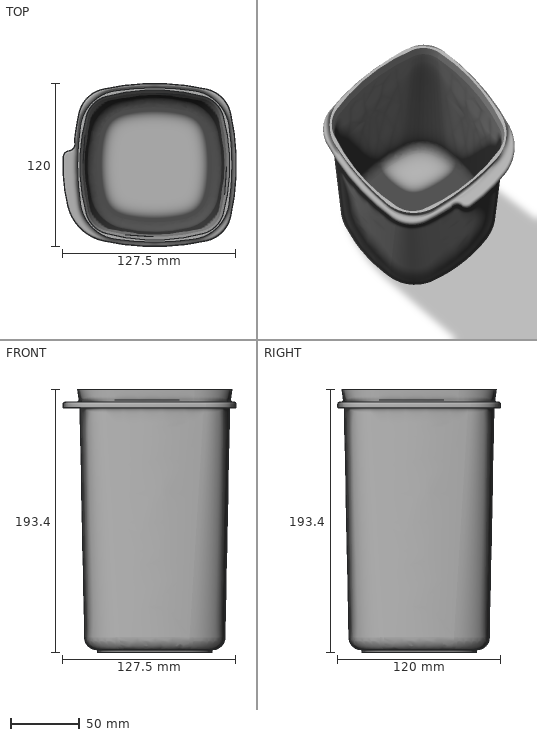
import cadquery as cq
import math

total_height = 193.4
foot_height = 2.1
flange_bottom = 179.8
flange_top = 184.0

wall = 2.1
rim_edge = 1.5
base_round = 9.3
rim_root_round = 1.4
flange_top_round = 2.0
flange_bottom_round = 0.5

foot = (42.0, 23.0, 106.3)
base = (51.5, 25.1, 106.3)
shoulder = (55.1, 36.3, 145.0)
rim_base = (55.5, 29.0, 193.4)
rim_top = (56.7, 29.4, 193.4)
mouth_top = (rim_top[0] - rim_edge, 35.8, 135.3)
flange = (60.0, 37.9, 174.0)

tab_front_end = (-63.8, -30.5)
tab_back_end = (-67.3, 5.8)
tab_neck = (-63.0, 10.5)
tab_root_y = 17.4


def inset(profile, thickness):
    """Profile parallel to another one, a constant thickness inside it."""
    half_width, side, radius = profile
    inner_radius = radius - thickness
    return half_width - thickness, side * inner_radius / radius, inner_radius


def side_reach(profile, along):
    """Distance from the center plane to a side arc, at a place along that side."""
    half_width, _, radius = profile
    return half_width - radius + math.sqrt(radius**2 - along**2)


def corner_middle(profile):
    """X (and Y) of the middle of the corner arc that runs tangent into both side arcs."""
    _, side, side_radius = profile
    reach = side_reach(profile, side)
    tilt = math.asin(side / side_radius)
    corner_radius = (reach - side) / (math.cos(tilt) - math.sin(tilt))
    return side + corner_radius * (math.sqrt(0.5) - math.sin(tilt))


def quarter_turns(point, count):
    """Turn a point counterclockwise about Z by a number of quarter turns."""
    x, y = point
    for _ in range(count):
        x, y = -y, x
    return x, y


def bowed_square(plane, profile):
    """Closed outline of four bowed sides joined by tangent corner arcs."""
    half_width, side, _ = profile
    reach = side_reach(profile, side)
    middle = corner_middle(profile)
    outline = plane.moveTo(reach, -side)
    for turn in range(4):
        side_points = [quarter_turns(p, turn) for p in ((half_width, 0), (reach, side))]
        corner_points = [quarter_turns(p, turn) for p in ((middle, middle), (side, reach))]
        outline = outline.threePointArc(*side_points).threePointArc(*corner_points)
    return outline.close()


def tapered(z_low, low, z_high, high):
    """Straight-sided solid between two profiles."""
    lower = bowed_square(cq.Workplane("XY").workplane(offset=z_low), low)
    upper = bowed_square(lower.workplane(offset=z_high - z_low), high)
    return upper.loft(ruled=True)


def round_bottomed(z_low, low, z_high, high, radius):
    """Tapered solid with its lower edge rounded."""
    return tapered(z_low, low, z_high, high).faces("<Z").edges().fillet(radius)


def flange_plate():
    """Flange with the finger tab blended into its -X side."""
    half_width, side, _ = flange
    reach = side_reach(flange, side)
    middle = corner_middle(flange)
    tab_root = (-side_reach(flange, tab_root_y), tab_root_y)
    back_middle_y = (tab_root_y + side) / 2
    back_middle = (-side_reach(flange, back_middle_y), back_middle_y)
    plate = (
        cq.Workplane("XY")
        .workplane(offset=flange_bottom)
        .moveTo(-reach, side)
        .threePointArc((-middle, middle), (-side, reach))
        .threePointArc((0, half_width), (side, reach))
        .threePointArc((middle, middle), (reach, side))
        .threePointArc((half_width, 0), (reach, -side))
        .threePointArc((middle, -middle), (side, -reach))
        .threePointArc((0, -half_width), (-side, -reach))
        .tangentArcPoint(tab_front_end, relative=False)
        .tangentArcPoint(tab_back_end, relative=False)
        .tangentArcPoint(tab_neck, relative=False)
        .tangentArcPoint(tab_root, relative=False)
        .threePointArc(back_middle, (-reach, side))
        .close()
        .extrude(flange_top - flange_bottom)
    )
    plate = plate.faces(">Z").edges().fillet(flange_top_round)
    return plate.faces("<Z").edges().fillet(flange_bottom_round)


def collar():
    """Flange and the rim standing on it, with a fillet around the foot of the rim."""
    joined = flange_plate().union(tapered(flange_top, rim_base, total_height, rim_top))
    reach = (rim_base[0] + rim_top[0]) / 2
    margin = 0.2
    root_box = cq.selectors.BoxSelector(
        (-reach, -reach, flange_top - margin),
        (reach, reach, flange_top + margin),
    )
    return joined.edges(root_box).fillet(rim_root_round)


foot_pad = bowed_square(cq.Workplane("XY"), foot).extrude(foot_height + wall)
body = round_bottomed(foot_height, base, flange_top, shoulder, base_round)
outside = collar().union(body).union(foot_pad)

floor_height = foot_height + wall
cavity_floor = inset(base, wall)
cavity_shoulder = inset(shoulder, wall)
cavity = round_bottomed(floor_height, cavity_floor, flange_top, cavity_shoulder, base_round - wall)
mouth = tapered(flange_top, cavity_shoulder, total_height, mouth_top)

result = outside.cut(cavity).cut(mouth)